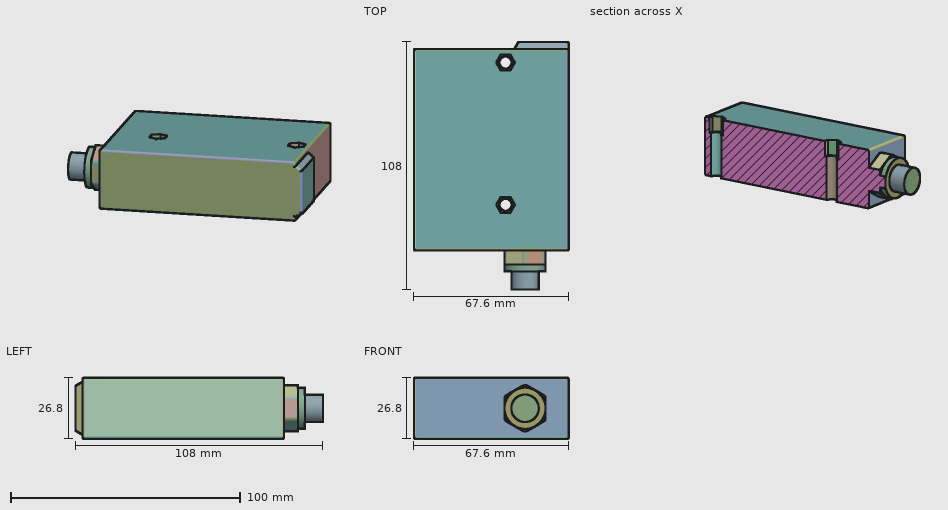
import cadquery as cq
import math

housing_width = 67.6
housing_length = 88.0
housing_height = 26.8
edge_radius = 1.0

pad_rise = 3.0
pad_top_width = 22.0
pad_top_height = 19.6
pad_taper = math.radians(30)
pad_embed = 1.0

gland_x = 14.7
gland_hex_flats = 18.0
gland_hex_corner_radius = 2.0
gland_hex_length = 6.0
gland_collar_diameter = 18.0
gland_collar_length = 3.0
cable_diameter = 12.0
cable_length = 8.0

hole_x = 6.2
hole_diameter = 5.3
hole_spacing = 62.0
rear_hole_inset = 6.0
nut_flats = 7.0
nut_pocket_depth = 7.0

hexagon_sides = 6
side_x = housing_width / 2
rear_y = housing_length / 2
front_y = -rear_y
top_z = housing_height / 2
rear_hole_y = rear_y - rear_hole_inset
hole_centers = [(hole_x, rear_hole_y), (hole_x, rear_hole_y - hole_spacing)]


def hexagon_diameter(across_flats):
    """Corner-to-corner diameter of a regular hexagon."""
    return across_flats / math.cos(math.pi / hexagon_sides)


def make_housing():
    block = cq.Workplane("XY").box(housing_width, housing_length, housing_height)
    return block.edges().fillet(edge_radius)


def make_pad():
    """Pad tapering on three sides; its root is sunk into the housing."""
    spread = (pad_rise + pad_embed) * math.tan(pad_taper)
    root_width = pad_top_width + spread
    root_height = pad_top_height + 2 * spread
    pad = (
        cq.Workplane("XZ", origin=(0, rear_y - pad_embed, 0))
        .center(side_x - root_width / 2, 0)
        .rect(root_width, root_height)
        .workplane(offset=-(pad_rise + pad_embed))
        .center(spread / 2, 0)
        .rect(pad_top_width, pad_top_height)
        .loft(ruled=True)
    )
    side_edges = pad.faces(">X").edges("not(<Y)")
    return side_edges.fillet(edge_radius)


def make_gland():
    """Hexagon with rounded corners, round collar and cable stub along -Y."""
    start = cq.Workplane("XZ", origin=(gland_x, front_y, 0))
    hexagon = (
        start.transformed(rotate=(0, 0, 90))
        .polygon(hexagon_sides, hexagon_diameter(gland_hex_flats))
        .extrude(gland_hex_length)
        .edges("|Y")
        .fillet(gland_hex_corner_radius)
    )
    collar_end = gland_hex_length + gland_collar_length
    collar = start.circle(gland_collar_diameter / 2).extrude(collar_end)
    cable = start.circle(cable_diameter / 2).extrude(collar_end + cable_length)
    return hexagon.union(collar).union(cable)


def cut_mounting_holes(body):
    top = cq.Workplane("XY", origin=(0, 0, top_z)).pushPoints(hole_centers)
    holes = top.circle(hole_diameter / 2).extrude(-housing_height)
    pockets = top.polygon(hexagon_sides, hexagon_diameter(nut_flats)).extrude(-nut_pocket_depth)
    return body.cut(holes).cut(pockets)


body = make_housing().union(make_pad()).union(make_gland())
result = cut_mounting_holes(body)